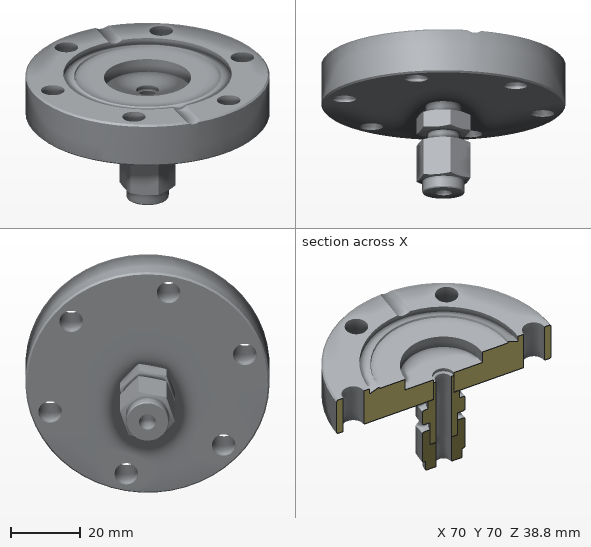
import cadquery as cq
import math

flange_diameter = 70
flange_height = 12.9
flange_chamfer = 0.5
bolt_count = 6
bolt_hole_diameter = 6.7
bolt_circle_diameter = 58.7

recess_diameter = 48.3
recess_depth = 1.9
knife_diameter = 42
knife_depth = 0.6
inner_face_diameter = 41.6
inner_face_depth = 1.2

pocket_diameter = 25.0
pocket_depth = 4.0
pocket_floor_z = -inner_face_depth - pocket_depth
stub_diameter = 6.5
stub_setback = 1.1

groove_width = 4.1
groove_depth = 0.85
groove_radius = ((groove_width / 2) ** 2 + groove_depth ** 2) / (2 * groove_depth)

passage_diameter = 4.8
passage_chamfer = 0.2
stem_diameter = 10.3
stem_length = 2.65
hex_across_flats = 14
hex_across_corners = hex_across_flats / math.cos(math.pi / 6)
hex_face_diameter = 12.2
hex_chamfer_height = 0.6
fitting_hex_height = 5.7
neck_diameter = 9.0
neck_gap = 2.5
neck_engagement = 5.9
nut_hex_height = 11.7
collar_diameter = 12.2
collar_end_diameter = 11.8
collar_chamfer_inset = (collar_diameter - collar_end_diameter) / 2
collar_chamfer_height = 0.35
overall_height = 38.8

flange_bottom_z = -flange_height
stub_top_z = pocket_floor_z - stub_setback
fitting_hex_top_z = flange_bottom_z - stem_length
fitting_hex_bottom_z = fitting_hex_top_z - fitting_hex_height
nut_top_z = fitting_hex_bottom_z - neck_gap
nut_hex_bottom_z = nut_top_z - nut_hex_height
fitting_end_z = nut_top_z - neck_engagement


def cylinder(diameter, bottom_z, top_z):
    """Upright cylinder on the Z axis."""
    return cq.Workplane("XY").workplane(offset=bottom_z).circle(diameter / 2).extrude(top_z - bottom_z)


def chamfered_hexagon(bottom_z, top_z):
    """Hexagonal prism with corners on the X axis and both ends turned to a cone."""
    height = top_z - bottom_z
    prism = cq.Workplane("XY").workplane(offset=bottom_z).polygon(6, hex_across_corners).extrude(height)
    face_radius = hex_face_diameter / 2
    corner_radius = hex_across_corners / 2
    turned_blank = (
        cq.Workplane("XZ")
        .moveTo(0, bottom_z)
        .lineTo(face_radius, bottom_z)
        .lineTo(corner_radius, bottom_z + hex_chamfer_height)
        .lineTo(corner_radius, top_z - hex_chamfer_height)
        .lineTo(face_radius, top_z)
        .lineTo(0, top_z)
        .close()
        .revolve(360, (0, 0, 0), (0, 1, 0))
    )
    return prism.intersect(turned_blank)


def sealing_recess():
    """Space cut from the top face, leaving the knife edge and the inner face."""
    return (
        cq.Workplane("XZ")
        .lineTo(recess_diameter / 2, 0)
        .lineTo(recess_diameter / 2, -recess_depth)
        .lineTo(knife_diameter / 2, -knife_depth)
        .lineTo(inner_face_diameter / 2, -inner_face_depth)
        .lineTo(0, -inner_face_depth)
        .close()
        .revolve(360, (0, 0, 0), (0, 1, 0))
    )


def leak_check_grooves():
    """Round-bottomed groove across the rim on both sides, clear of the sealing recess."""
    groove = (
        cq.Workplane("YZ")
        .center(0, groove_radius - groove_depth)
        .circle(groove_radius)
        .extrude(flange_diameter / 2, both=True)
    )
    return groove.cut(cylinder(recess_diameter, -groove_depth, 2 * groove_radius))


def make_flange():
    flange = cylinder(flange_diameter, flange_bottom_z, 0).edges().chamfer(flange_chamfer)
    flange = flange.cut(sealing_recess()).cut(leak_check_grooves())
    flange = flange.cut(cylinder(pocket_diameter, pocket_floor_z, 0))
    flange = flange.cut(cylinder(stub_diameter, flange_bottom_z, 0))
    bolt_holes = (
        cq.Workplane("XY")
        .workplane(offset=flange_bottom_z)
        .polarArray(bolt_circle_diameter / 2, 90, 360, bolt_count)
        .circle(bolt_hole_diameter / 2)
        .extrude(flange_height)
    )
    return flange.cut(bolt_holes)


def make_fitting():
    stub = cylinder(stub_diameter, flange_bottom_z, stub_top_z)
    stem = cylinder(stem_diameter, fitting_hex_top_z, flange_bottom_z)
    hexagon = chamfered_hexagon(fitting_hex_bottom_z, fitting_hex_top_z)
    neck = cylinder(neck_diameter, fitting_end_z, fitting_hex_bottom_z)
    fitting = stub.union(stem).union(hexagon).union(neck)
    fitting = fitting.cut(cylinder(passage_diameter, fitting_end_z, stub_top_z))
    bore_rim = fitting.faces(">Z").edges(cq.selectors.RadiusNthSelector(0))
    return bore_rim.chamfer(passage_chamfer)


def make_nut():
    hexagon = chamfered_hexagon(nut_hex_bottom_z, nut_top_z)
    collar = cylinder(collar_diameter, -overall_height, nut_hex_bottom_z)
    collar = collar.faces("<Z").chamfer(collar_chamfer_height, collar_chamfer_inset)
    nut = hexagon.union(collar)
    nut = nut.cut(cylinder(neck_diameter, fitting_end_z, nut_top_z))
    return nut.cut(cylinder(passage_diameter, -overall_height, fitting_end_z))


flange = make_flange()
fitting = make_fitting()
nut = make_nut()

result = cq.Compound.makeCompound([flange.val(), fitting.val(), nut.val()])